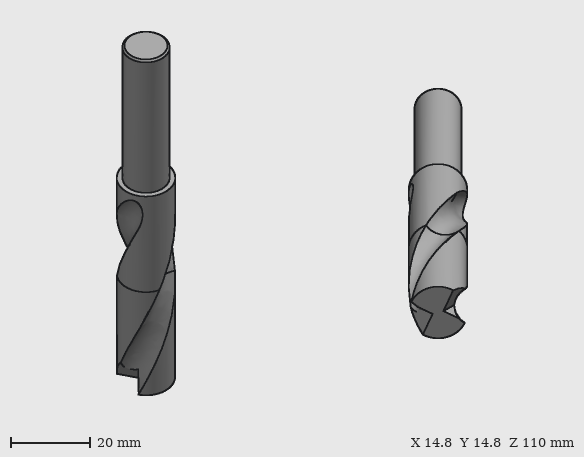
import cadquery as cq
import math

TOTAL_LENGTH = 110.0
BODY_DIAMETER = 14.8
SHANK_DIAMETER = 12.0
SHANK_CHAMFER = 0.5
TIP_LENGTH = 34.3
SHOULDER_Z = 66.1

FLUTE_COUNT = 2
FLUTE_PITCH = 110.0
FLUTE_END_Z = 54.2
FLUTE_END_ANGLE = -87.0
FLUTE_FLOOR_RADIUS = 4.2
FLUTE_ARC_RADIUS = 5.7
FLUTE_OFFSET = FLUTE_FLOOR_RADIUS + FLUTE_ARC_RADIUS

RUNOUT_RADIUS = 31.9
RUNOUT_LENGTH = 17.6
RUNOUT_SLOPE = math.radians(34.0)

GASH_HEIGHT = 8.8
GASH_APEX = (0.0, -1.4)
GASH_LEFT_END = (-9.9, -9.6)
GASH_RIGHT_END = (6.6, -8.0)
GASH_DRIFT_X = 0.35
GASH_DRIFT_Y = -0.42

FLUTE_SPACING = 360.0 / FLUTE_COUNT
AXIS_START, AXIS_END = (0, 0, 0), (0, 0, 1)


def make_helical_flute():
    """Round section twisted about the drill axis, ending on the +X side."""
    twist = 360.0 * FLUTE_END_Z / FLUTE_PITCH
    flute = (
        cq.Workplane("XY")
        .moveTo(FLUTE_OFFSET, 0)
        .circle(FLUTE_ARC_RADIUS)
        .twistExtrude(FLUTE_END_Z, twist)
    )
    return flute.rotate(AXIS_START, AXIS_END, -twist)


def runout_point(distance):
    """Point on the run-out arc at a distance travelled along the arc."""
    turn = distance / RUNOUT_RADIUS
    rise = RUNOUT_RADIUS * (1 - math.cos(turn))
    advance = RUNOUT_RADIUS * math.sin(turn)
    return (
        FLUTE_OFFSET + rise,
        advance * math.sin(RUNOUT_SLOPE),
        FLUTE_END_Z + advance * math.cos(RUNOUT_SLOPE),
    )


def make_runout():
    """Continuation of the flute section along the run-out arc."""
    path = cq.Edge.makeThreePointArc(
        cq.Vector(runout_point(0)),
        cq.Vector(runout_point(RUNOUT_LENGTH / 2)),
        cq.Vector(runout_point(RUNOUT_LENGTH)),
    )
    section = cq.Workplane("XY", origin=runout_point(0)).circle(FLUTE_ARC_RADIUS)
    return section.sweep(cq.Wire.assembleEdges([path]))


def make_gash():
    """V-shaped prism whose apex line slopes up and outward."""
    outline = cq.Wire.makePolygon(
        [cq.Vector(x, y, 0) for x, y in (GASH_LEFT_END, GASH_APEX, GASH_RIGHT_END)],
        close=True,
    )
    drift = cq.Vector(GASH_DRIFT_X, GASH_DRIFT_Y, 1) * GASH_HEIGHT
    return cq.Workplane(cq.Solid.extrudeLinear(outline, [], drift))


def cut_around(body, cutter):
    """Cut evenly spaced copies of the cutter around the drill axis."""
    for index in range(FLUTE_COUNT):
        body = body.cut(cutter.rotate(AXIS_START, AXIS_END, index * FLUTE_SPACING))
    return body


def make_tip(flute):
    """Fluted cutting tip with a gashed end."""
    tip = cq.Workplane("XY").circle(BODY_DIAMETER / 2).extrude(TIP_LENGTH)
    tip = cut_around(tip, flute)
    return cut_around(tip, make_gash())


def make_holder(flute, runout):
    """Upper fluted body with its reduced, chamfered shank."""
    holder = (
        cq.Workplane("XY", origin=(0, 0, TIP_LENGTH))
        .circle(BODY_DIAMETER / 2)
        .extrude(SHOULDER_Z - TIP_LENGTH)
    )
    holder = cut_around(holder, flute)
    holder = cut_around(holder, runout)
    shank = (
        cq.Workplane("XY", origin=(0, 0, SHOULDER_Z))
        .circle(SHANK_DIAMETER / 2)
        .extrude(TOTAL_LENGTH - SHOULDER_Z)
        .faces(">Z")
        .chamfer(SHANK_CHAMFER)
    )
    return holder.union(shank)


helical_flute = make_helical_flute().rotate(AXIS_START, AXIS_END, FLUTE_END_ANGLE)
flute_runout = make_runout().rotate(AXIS_START, AXIS_END, FLUTE_END_ANGLE)

cutting_tip = make_tip(helical_flute)
holder = make_holder(helical_flute, flute_runout)

result = cq.Compound.makeCompound([cutting_tip.val(), holder.val()])